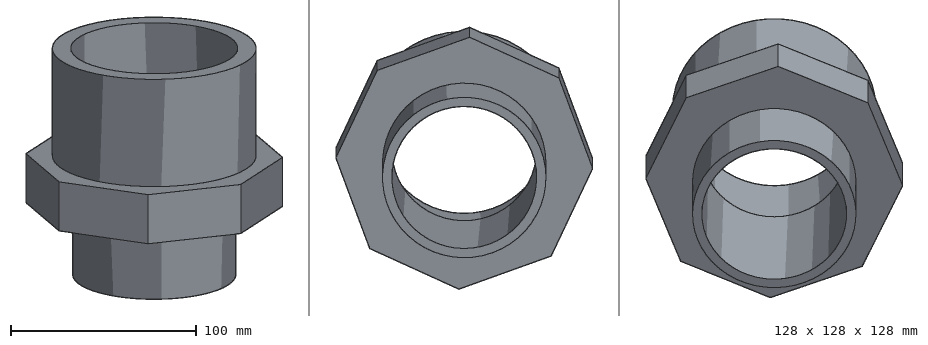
import cadquery as cq
import math

across_flats = 128.0
total_height = 128.0
spigot_height = 39.5
collar_height = 27.8

spigot_diameter = 88.0
socket_outer_diameter = 110.0
socket_bore_diameter = 90.0
through_bore_diameter = 78.0
socket_depth = 51.0

collar_sides = 8
half_side_angle = 180.0 / collar_sides
across_corners = across_flats / math.cos(math.radians(half_side_angle))

collar_top = spigot_height + collar_height
socket_height = total_height - collar_top


def cylinder(diameter, height, base_z):
    """Upright cylinder on the Z axis, starting at base_z."""
    return cq.Workplane("XY").workplane(offset=base_z).circle(diameter / 2).extrude(height)


def octagonal_collar():
    """Octagonal prism between the spigot and the socket."""
    return (
        cq.Workplane("XY")
        .workplane(offset=spigot_height)
        .transformed(rotate=(0, 0, half_side_angle))
        .polygon(collar_sides, across_corners)
        .extrude(collar_height)
    )


spigot = cylinder(spigot_diameter, spigot_height, 0)
socket = cylinder(socket_outer_diameter, socket_height, collar_top)
body = spigot.union(octagonal_collar()).union(socket)

through_bore = cylinder(through_bore_diameter, total_height, 0)
socket_bore = cylinder(socket_bore_diameter, socket_depth, total_height - socket_depth)

result = body.cut(through_bore).cut(socket_bore)